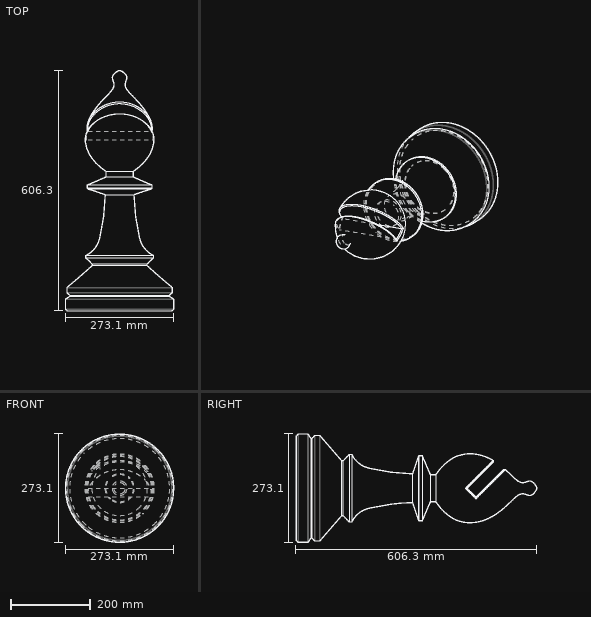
import cadquery as cq

total_length = 606.3
axis_origin = (0, 0, 0)

foot_radius = 273.14 / 2
foot_chamfer = 5.0
foot_top = 30.0

groove_radius = 125.5
groove_start = 37.5
groove_end = 40.0
cone_radius = 133.0
cone_rim_start = 46.5
cone_rim_end = 59.5

rim_fillet = 2.0

waist_radius = 69.5
waist_start = 114.5
waist_end = 118.5
collar_radius = 85.5
collar_start = 134.0
collar_end = 140.0

stem_flare = [(150.0, 70.5), (167.5, 56.7), (204.0, 46.6), (243.0, 40.0)]
stem_top = 293.0
stem_top_radius = 36.5

disc_radius = 82.0
disc_rim_start = 309.5
disc_rim_end = 317.5
disc_rim_chamfer = 2.0
disc_top = 338.0
neck_radius = 34.5
neck_top = 351.5

head_max_radius = 87.2
head_center = 436.5
head_lower = [(381.0, 67.0), (402.0, 80.0)]
head_upper = [(479.0, 78.6), (516.5, 55.8), (543.5, 31.0)]
throat_radius = 14.5
throat_length = 573.0

bead_radius = 18.5
bead_length = 589.0
bead_shoulder_length = 600.5
bead_shoulder_radius = 10.6

slot_width = 31.6
slot_angle = 45.0
slot_floor_center_y = 441.5
slot_floor_center_z = -11.3
slot_depth = 120.0
slot_edge_break = 3.0


def along(stations):
    """Turn (length, radius) pairs into sketch points (radius, length)."""
    return [(radius, length) for length, radius in stations]


def make_body():
    """Revolve the half profile about the Y axis."""
    profile = (
        cq.Workplane("XY")
        .moveTo(0, 0)
        .lineTo(foot_radius - foot_chamfer, 0)
        .lineTo(foot_radius, foot_chamfer)
        .lineTo(foot_radius, foot_top)
        .lineTo(groove_radius, groove_start)
        .lineTo(groove_radius, groove_end)
        .lineTo(cone_radius, cone_rim_start)
        .lineTo(cone_radius, cone_rim_end)
        .lineTo(waist_radius, waist_start)
        .lineTo(waist_radius, waist_end)
        .lineTo(collar_radius, collar_start)
        .lineTo(collar_radius, collar_end)
        .spline(along(stem_flare + [(stem_top, stem_top_radius)]), includeCurrent=True)
        .lineTo(disc_radius - disc_rim_chamfer, disc_rim_start - disc_rim_chamfer)
        .lineTo(disc_radius, disc_rim_start)
        .lineTo(disc_radius, disc_rim_end)
        .lineTo(neck_radius, disc_top)
        .lineTo(neck_radius, neck_top)
        .spline(
            along(
                head_lower
                + [(head_center, head_max_radius)]
                + head_upper
                + [
                    (throat_length, throat_radius),
                    (bead_length, bead_radius),
                    (bead_shoulder_length, bead_shoulder_radius),
                    (total_length, 0),
                ]
            ),
            includeCurrent=True,
        )
        .close()
    )
    body = profile.revolve(360, axis_origin, (0, 1, 0))
    return body.rotate(axis_origin, (0, 1, 0), 90)


def round_rims(body):
    """Round the outer edges of the foot and of the cone rim."""
    reach = 2 * foot_radius
    clearance = 1.0
    foot_edges = cq.selectors.BoxSelector(
        (-reach, clearance, -reach),
        (reach, foot_top + clearance, reach),
    )
    cone_edges = cq.selectors.BoxSelector(
        (-reach, cone_rim_start - clearance, -reach),
        (reach, cone_rim_end + clearance, reach),
    )
    underside_rounded = body.faces("<Y").edges().fillet(rim_fillet)
    return underside_rounded.edges("%CIRCLE").edges(foot_edges + cone_edges).fillet(rim_fillet)


def make_slot():
    """Box that runs across X and slants out of the head toward +Y and +Z."""
    return (
        cq.Workplane("XY")
        .box(3 * head_max_radius, slot_depth, slot_width, centered=(True, False, True))
        .rotate(axis_origin, (1, 0, 0), slot_angle)
        .translate((0, slot_floor_center_y, slot_floor_center_z))
    )


def cut_slot(body):
    """Cut the slot and break the sharp edges where it leaves the head."""
    slotted = body.cut(make_slot())
    head_region = cq.selectors.BoxSelector(
        (-head_max_radius, neck_top, -head_max_radius),
        (head_max_radius, total_length, head_max_radius),
    )
    slot_walls = slotted.faces("%PLANE").faces(head_region)
    return slot_walls.edges("not %LINE").chamfer(slot_edge_break)


result = cut_slot(round_rims(make_body()))